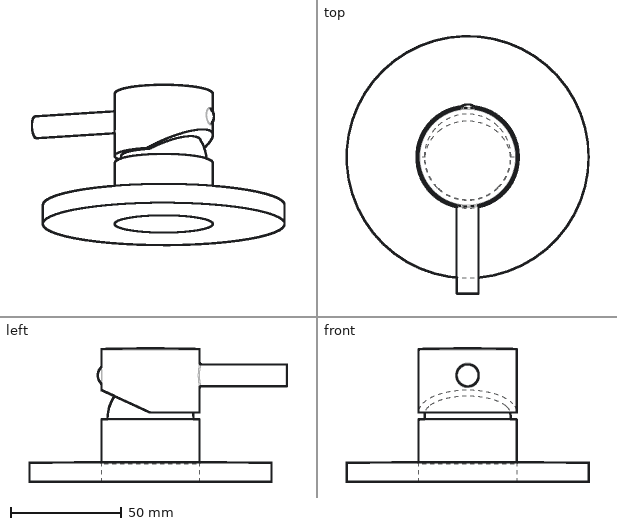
import cadquery as cq
import math

plate_radius = 55.0
plate_edge_height = 8.7
plate_peak_height = 9.2
plate_hole_chamfer = 0.9

body_radius = 22.3
collar_top = 28.4
collar_fillet = 0.5
ball_radius = 19.7
ball_center_z = 28.2

cap_bottom = 31.4
cap_edge_top = 60.4
cap_peak = 60.7
cap_fillet = 0.6
cap_cut_rear_z = 41.7

overall_depth = 117.0
lever_radius = 5.0
lever_z = 48.3
lever_front_y = plate_radius - overall_depth
lever_rear_y = 24.0
lever_end_fillet = 0.5
lever_root_fillet = 0.6


def make_plate():
    """Disc with a shallow conical top and a chamfered hole that fits the collar."""
    slope = (plate_peak_height - plate_edge_height) / plate_radius
    rim_radius = body_radius + plate_hole_chamfer
    rim_z = plate_peak_height - slope * rim_radius
    return (
        cq.Workplane("XZ")
        .moveTo(body_radius, 0)
        .lineTo(plate_radius, 0)
        .lineTo(plate_radius, plate_edge_height)
        .lineTo(rim_radius, rim_z)
        .lineTo(body_radius, rim_z - plate_hole_chamfer)
        .close()
        .revolve(360, (0, 0, 0), (0, 1, 0))
    )


def make_base():
    """Collar that stands in the hole of the plate, with the ball joint rising out of it."""
    collar = cq.Workplane("XY").circle(body_radius).extrude(collar_top)
    collar = collar.faces(">Z").edges().fillet(collar_fillet)
    ball = cq.Workplane("XY").sphere(ball_radius).translate((0, 0, ball_center_z))
    return collar.union(ball)


def make_cap():
    """Cylinder with a rounded edge and a shallow conical top, cut away under its rear half."""
    crown_radius = body_radius - cap_fillet
    arc_shift = cap_fillet * (1 - math.sqrt(0.5))
    cap = (
        cq.Workplane("XZ")
        .moveTo(0, cap_bottom)
        .lineTo(body_radius, cap_bottom)
        .lineTo(body_radius, cap_edge_top - cap_fillet)
        .threePointArc((body_radius - arc_shift, cap_edge_top - arc_shift), (crown_radius, cap_edge_top))
        .lineTo(0, cap_peak)
        .close()
        .revolve(360, (0, 0, 0), (0, 1, 0))
    )
    rear_cut = (
        cq.Workplane("YZ")
        .moveTo(0, cap_bottom)
        .lineTo(body_radius, cap_cut_rear_z)
        .lineTo(body_radius, cap_bottom)
        .close()
        .extrude(body_radius, both=True)
    )
    return cap.cut(rear_cut)


def make_lever():
    """Rod with a hemispherical rear end, turned around its own axis."""
    rear_center_y = lever_rear_y - lever_radius
    arc_shift = lever_radius * math.sqrt(0.5)
    rod = (
        cq.Workplane("XY")
        .moveTo(0, lever_front_y)
        .lineTo(lever_radius, lever_front_y)
        .lineTo(lever_radius, rear_center_y)
        .threePointArc((arc_shift, rear_center_y + arc_shift), (0, lever_rear_y))
        .close()
        .revolve(360, (0, 0, 0), (0, 1, 0))
        .translate((0, 0, lever_z))
    )
    return rod.faces("<Y").edges().fillet(lever_end_fillet)


def make_handle():
    """Cap and lever in one piece, with a small fillet where each lever end leaves the cap."""
    handle = make_cap().union(make_lever())
    half_width = lever_radius + lever_root_fillet
    half_depth = body_radius + lever_root_fillet
    root_edges = cq.selectors.BoxSelector(
        (-half_width, -half_depth, lever_z - half_width),
        (half_width, half_depth, lever_z + half_width),
        boundingbox=True,
    )
    return handle.edges(root_edges).fillet(lever_root_fillet)


def make_mixer():
    """Base and handle joined into one solid."""
    return make_base().union(make_handle())


plate = make_plate()
mixer = make_mixer()

result = cq.Compound.makeCompound([plate.val(), mixer.val()])